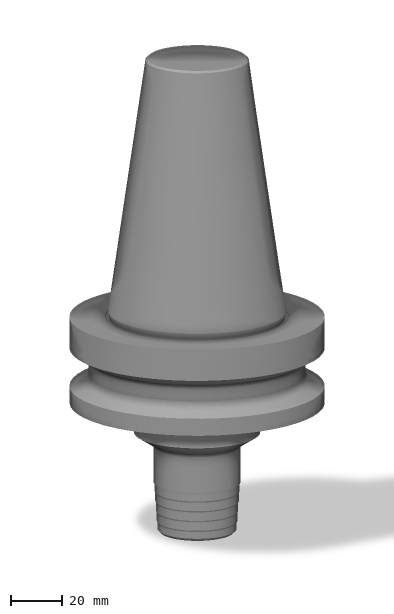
import cadquery as cq
import math

total_height = 191.8
flange_top = 87.0
flange_thickness = 35.0
flange_bottom = flange_top - flange_thickness

taper_top_radius = 20.1
taper_base_radius = 35.0
taper_base_height = 2.3
taper_edge_chamfer = 0.8
relief_inner_radius = 34.3
relief_outer_radius = 36.0
relief_depth = 0.5

flange_diameter = 100.0
flange_radius = flange_diameter / 2
groove_floor_radius = 42.5
groove_angle = 30.0
upper_rim_thickness = 12.7
lower_rim_thickness = 7.0
groove_fillet = 1.3

boss_radius = 24.7
boss_bottom = 40.3
boss_flare = 0.5

shank_radius = 17.0
shank_shoulder = 35.3
shoulder_fillet = 1.2
tip_start = 20.1
tip_start_radius = 16.7
tip_chamfer = 1.2
step_count = 4
step_pitch = 4.0
highest_step = 16.3
step_depth = 0.29
step_height = 0.5


def revolve_profile(points):
    """Turn a closed (radius, height) outline about the Z axis."""
    return cq.Workplane("XZ").polyline(points).close().revolve(360, (0, 0), (0, 1))


def make_taper():
    return revolve_profile([
        (0, flange_top),
        (relief_inner_radius, flange_top),
        (taper_base_radius, flange_top + taper_base_height),
        (taper_top_radius, total_height),
        (0, total_height),
    ]).faces(">Z").edges().chamfer(taper_edge_chamfer)


def make_flange():
    groove_drop = (flange_radius - groove_floor_radius) * math.tan(math.radians(groove_angle))
    upper_rim = flange_top - upper_rim_thickness
    lower_rim = flange_bottom + lower_rim_thickness
    floor_top = upper_rim - groove_drop
    floor_bottom = lower_rim + groove_drop
    flange = revolve_profile([
        (0, flange_bottom),
        (flange_radius, flange_bottom),
        (flange_radius, lower_rim),
        (groove_floor_radius, floor_bottom),
        (groove_floor_radius, floor_top),
        (flange_radius, upper_rim),
        (flange_radius, flange_top),
        (0, flange_top),
    ])
    reach = groove_floor_radius + groove_fillet
    floor_zone = cq.selectors.BoxSelector(
        (-reach, -reach, floor_bottom - groove_fillet),
        (reach, reach, floor_top + groove_fillet),
        boundingbox=True,
    )
    return flange.edges(floor_zone).edges("%CIRCLE").fillet(groove_fillet)


def make_relief():
    """Shallow ring cut into the flange face around the taper."""
    face = cq.Workplane("XY").workplane(offset=flange_top)
    return face.circle(relief_outer_radius).circle(relief_inner_radius).extrude(-relief_depth)


def make_shank():
    tip_steps = []
    for index in range(step_count):
        radius = tip_start_radius - index * step_depth
        height = highest_step - index * step_pitch
        tip_steps.append((radius, height + step_height / 2))
        tip_steps.append((radius - step_depth, height - step_height / 2))
    tip_end_radius = tip_start_radius - step_count * step_depth
    shank = revolve_profile([
        (0, 0),
        (tip_end_radius - tip_chamfer, 0),
        (tip_end_radius, tip_chamfer),
        *reversed(tip_steps),
        (tip_start_radius, tip_start),
        (shank_radius, tip_start),
        (shank_radius, shank_shoulder),
        (boss_radius, boss_bottom),
        (boss_radius, flange_bottom - boss_flare),
        (boss_radius + boss_flare, flange_bottom),
        (0, flange_bottom),
    ])
    reach = shank_radius + shoulder_fillet
    shoulder_zone = cq.selectors.BoxSelector(
        (-reach, -reach, shank_shoulder - shoulder_fillet),
        (reach, reach, shank_shoulder + shoulder_fillet),
        boundingbox=True,
    )
    return shank.edges(shoulder_zone).edges("%CIRCLE").fillet(shoulder_fillet)


result = make_flange().union(make_taper()).cut(make_relief()).union(make_shank())